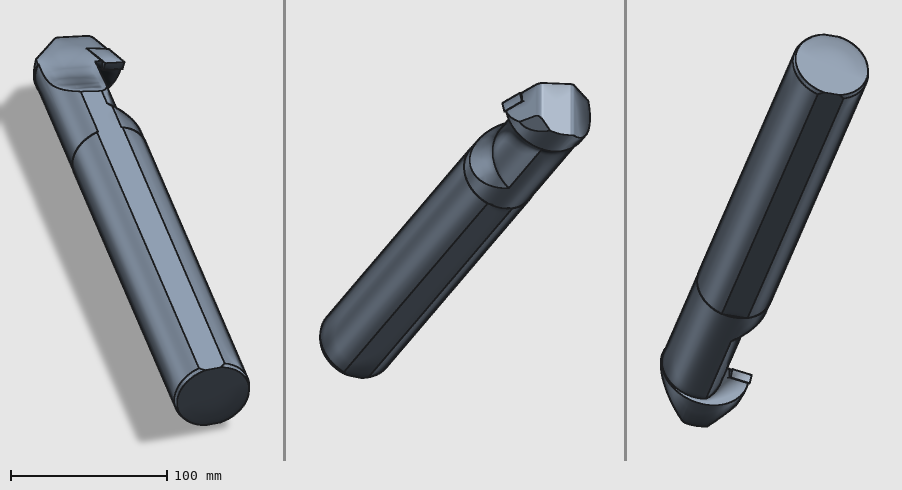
import cadquery as cq
import math


total_length = 350.0
shank_start = 110.0
head_length = 23.0

shank_radius = 25.0
neck_radius = 24.75
flat_height = 23.5
end_chamfer_length = 3.0
end_chamfer_depth = 1.0

head_radius = 29.0
head_offset = 4.0
front_corner_low = -4.5
front_corner_high = 19.0
back_angle = 45.0
lead_angle = 30.0
front_fillet = 5.0

heel_z = -17.8
heel_angle = 33.0

tip = cq.Vector(24.5, 34.33, 0)
rake_drop_x = 0.115
rake_drop_y = 0.176

runout_height = 26.5
runout_begin_x = -5.0
runout_control_xs = (36.0, 43.0)
runout_end_x = 73.3

relief_axis_y = -16.4
relief_radius = 32.0
relief_end = 85.0
relief_exit_angle = 30.0

insert_thickness = 6.5
insert_front_x = 12.3
insert_inner_x = 10.8
insert_inner_y = 13.0
insert_flank_y = 21.6

clearance = 200.0

rake_x_axis = cq.Vector(1, 0, -rake_drop_x)
rake_normal = cq.Vector(rake_drop_x, rake_drop_y, 1)
rake_y_axis = rake_normal.cross(rake_x_axis)

lead = math.radians(lead_angle)


def make_shank():
    """Round shank with a chamfered end, and a flat above and below."""
    profile = (
        cq.Workplane("XY")
        .moveTo(shank_start, 0)
        .lineTo(shank_start, shank_radius)
        .lineTo(total_length - end_chamfer_length, shank_radius)
        .lineTo(total_length, shank_radius - end_chamfer_depth)
        .lineTo(total_length, 0)
        .close()
    )
    shank = profile.revolve(360, (0, 0, 0), (1, 0, 0))
    between_flats = cq.Workplane("YZ").rect(clearance, 2 * flat_height).extrude(total_length)
    return shank.intersect(between_flats)


def make_relief_cutter():
    """Ring around the relief cylinder, ending in a conical exit toward the shank."""
    depth = clearance / 4
    exit_run = depth / math.tan(math.radians(relief_exit_angle))
    floor_y = relief_axis_y + relief_radius
    profile = (
        cq.Workplane("XY")
        .moveTo(head_length, floor_y)
        .lineTo(relief_end, floor_y)
        .lineTo(relief_end + exit_run, floor_y + depth)
        .lineTo(head_length, floor_y + depth)
        .close()
    )
    return profile.revolve(360, (0, relief_axis_y, 0), (1, relief_axis_y, 0))


def make_neck():
    """Round neck with a flat on top and the turned relief on its +Y side."""
    neck = cq.Workplane("YZ").circle(neck_radius).extrude(shank_start)
    below_flat = (
        cq.Workplane("YZ")
        .center(0, flat_height - clearance / 2)
        .rect(clearance, clearance)
        .extrude(shank_start)
    )
    return neck.intersect(below_flat).cut(make_relief_cutter())


def make_heel_cutter():
    """Block outside the plane that slopes inward below the heel line of the lead face."""
    tilt = math.radians(heel_angle)
    outward = cq.Vector(-math.sin(lead), math.cos(lead), 0)
    normal = outward * math.cos(tilt) - cq.Vector(0, 0, math.sin(tilt))
    along = cq.Vector(math.cos(lead), math.sin(lead), 0)
    heel_plane = cq.Plane(origin=(0, front_corner_high, heel_z), xDir=along, normal=normal)
    return cq.Workplane(heel_plane).rect(clearance, clearance).extrude(clearance)


def make_head():
    """Offset disc cut to the blunt front outline, with rounded front corners and a sloping heel."""
    disc = cq.Workplane("YZ").center(head_offset, 0).circle(head_radius).extrude(head_length)
    back_drop = clearance * math.tan(math.radians(back_angle))
    lead_rise = clearance * math.tan(lead)
    front_outline = (
        cq.Workplane("XY")
        .workplane(offset=-clearance / 2)
        .moveTo(0, front_corner_low)
        .lineTo(clearance, front_corner_low - back_drop)
        .lineTo(clearance, front_corner_high + lead_rise)
        .lineTo(0, front_corner_high)
        .close()
        .extrude(clearance)
        .edges("|Z and <X")
        .fillet(front_fillet)
    )
    return disc.intersect(front_outline).cut(make_heel_cutter())


def make_rake_cutter():
    """Space above the rake face and its runout, whose profile is one cubic Bezier curve."""
    side_plane = cq.Plane(origin=tip, xDir=rake_x_axis, normal=rake_y_axis * -1)
    begin = runout_begin_x - tip.x
    flat_controls = [(x - tip.x, 0) for x in runout_control_xs]
    end = (runout_end_x - tip.x, runout_height)
    return (
        cq.Workplane(side_plane)
        .bezier([(begin, 0), *flat_controls, end])
        .lineTo(begin, runout_height)
        .close()
        .extrude(clearance, both=True)
    )


def make_insert_outline():
    """Outline of the insert, whose corners are given in X and Y and lie on the rake face."""
    slope = math.tan(lead)
    corners_xy = [
        (tip.x, tip.y),
        (insert_front_x, tip.y - (tip.x - insert_front_x) * slope),
        (insert_inner_x, insert_inner_y),
        (head_length, insert_inner_y + (head_length - insert_inner_x) * slope),
        (tip.x, insert_flank_y),
    ]
    rake_plane = cq.Plane(origin=tip, xDir=rake_x_axis, normal=rake_normal)
    corners = []
    for x, y in corners_xy:
        z = tip.z - (x - tip.x) * rake_drop_x - (y - tip.y) * rake_drop_y
        local = rake_plane.toLocalCoords(cq.Vector(x, y, z))
        corners.append((local.x, local.y))
    return cq.Workplane(rake_plane).polyline(corners).close()


def make_insert():
    return make_insert_outline().extrude(-insert_thickness)


def make_insert_pocket():
    """Seat of the insert, open upward so that nothing covers the insert's rake face."""
    return make_insert().union(make_insert_outline().extrude(runout_height))


def make_bar():
    """Shank, neck and head in one piece, with the rake face and the insert seat cut in."""
    neck_start = cq.Workplane("YZ").rect(clearance, clearance).extrude(head_length)
    neck = make_neck().cut(neck_start)
    bar = make_shank().union(neck).union(make_head())
    return bar.cut(make_rake_cutter()).cut(make_insert_pocket())


bar = make_bar()
insert = make_insert()

result = cq.Compound.makeCompound([bar.val(), insert.val()])